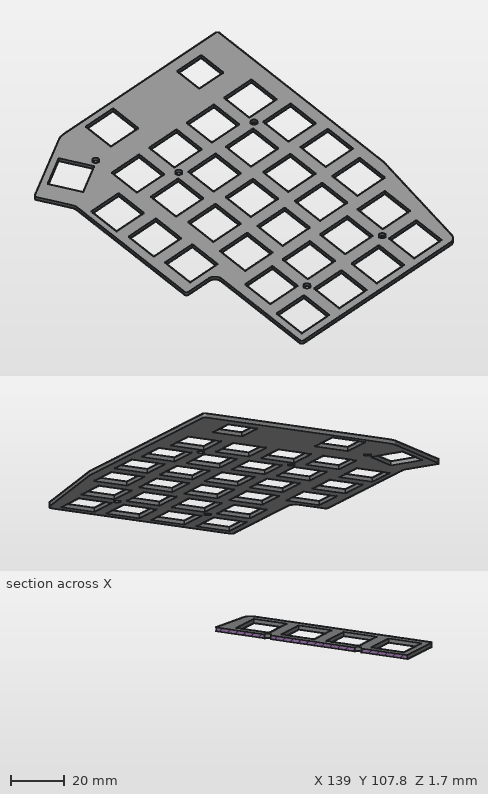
import cadquery as cq
import math

length = 139.0
width = 107.8
thickness = 1.7

slope_start_x = 91.6
right_top_y = 100.5
right_bottom_y = 22.4
step_x = 91.5
bottom_y = 7.6
thumb_tip_x = 16.3
thumb_angle = 30.0
small_corner_radius = 1.0
top_right_radius = 2.9
step_inner_radius = 3.3
left_bend_radius = 7.6
bottom_bend_radius = 2.9

key_size = 13.9
row_count = 4
first_column_x = 33.8
column_span = 95.1
top_row_y = [93.3, 95.7, 97.0, 95.7, 91.0, 89.4]
key_pitch = column_span / (len(top_row_y) - 1)

bottom_row_y = [17.1, 18.5, 19.5]

side_key_center = (9.7, 45.2)
thumb_key_center = (17.4, 17.2)
small_opening_center = (11.0, 88.9)
small_opening_size = 12.2

screw_diameter = 2.6
upper_screw_centers = [(43.7, 86.1), (119.2, 81.6)]
screw_spacing_y = 38.2
thumb_screw_center = (18.1, 29.2)


def plate():
    slope = math.tan(math.radians(thumb_angle))
    corner_height = math.sqrt(2) * math.sin(math.radians(45 + thumb_angle))
    tip_y = small_corner_radius * (1 - corner_height)
    thumb_tip = (thumb_tip_x, tip_y)
    left_bend = (0, tip_y + thumb_tip_x / slope)
    bottom_bend = (thumb_tip_x + (bottom_y - tip_y) / slope, bottom_y)
    top_left = (0, width)
    top_right = (length, right_top_y)
    lower_right = (length, right_bottom_y)
    step_inner = (step_x, right_bottom_y)
    step_outer = (step_x, bottom_y)
    outline = [
        top_left, (slope_start_x, width), top_right, lower_right, step_inner,
        step_outer, bottom_bend, thumb_tip, left_bend,
    ]
    corner_radii = [
        (small_corner_radius, [top_left, lower_right, step_outer, thumb_tip]),
        (top_right_radius, [top_right]),
        (step_inner_radius, [step_inner]),
        (left_bend_radius, [left_bend]),
        (bottom_bend_radius, [bottom_bend]),
    ]
    body = cq.Workplane("XY").polyline(outline).close().extrude(thickness)
    for radius, corners in corner_radii:
        for x, y in corners:
            corner_edge = cq.selectors.NearestToPointSelector((x, y, thickness / 2))
            body = body.edges("|Z").edges(corner_edge).fillet(radius)
    return body


def square_openings(centers, size, angle=0):
    sketch = cq.Sketch().push(centers).rect(size, size, angle=angle)
    return cq.Workplane("XY").placeSketch(sketch).extrude(thickness)


def key_centers():
    centers = [side_key_center]
    for column, top_y in enumerate(top_row_y):
        x = first_column_x + column * key_pitch
        centers += [(x, top_y - row * key_pitch) for row in range(row_count)]
    for column, y in enumerate(bottom_row_y):
        centers.append((first_column_x + key_pitch / 2 + column * key_pitch, y))
    return centers


def screw_holes():
    centers = [thumb_screw_center]
    for x, y in upper_screw_centers:
        centers += [(x, y), (x, y - screw_spacing_y)]
    return cq.Workplane("XY").pushPoints(centers).circle(screw_diameter / 2).extrude(thickness)


result = (
    plate()
    .cut(square_openings(key_centers(), key_size))
    .cut(square_openings([thumb_key_center], key_size, thumb_angle))
    .cut(square_openings([small_opening_center], small_opening_size))
    .cut(screw_holes())
)